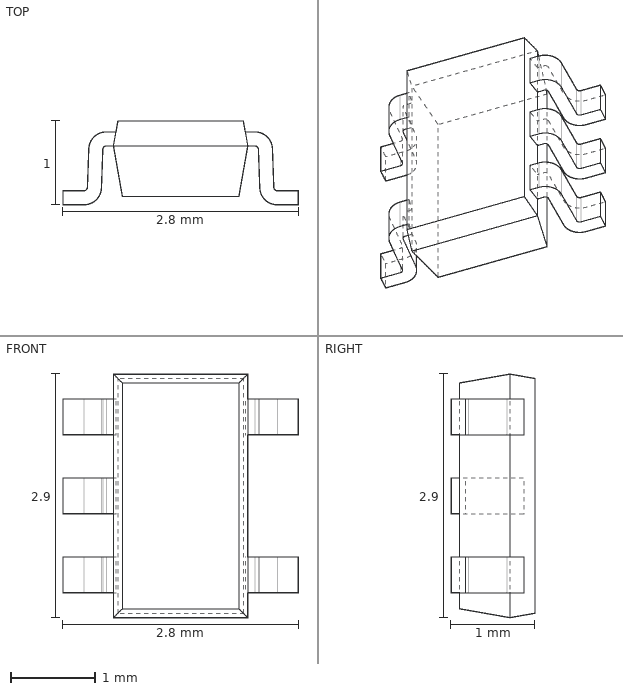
import cadquery as cq
import math

BODY_WIDTH = 1.6
BODY_LENGTH = 2.9
STANDOFF = 0.1
FRONT_DEPTH = 0.6
BACK_DEPTH = 0.3
DRAFT_ANGLE = 10.0
PARTING_Y = STANDOFF + FRONT_DEPTH

LEAD_SPAN = 2.8
LEAD_WIDTH = 0.43
LEAD_THICKNESS = 0.17
LEAD_PITCH = 0.94
FOOT_FLAT = 0.25
LEG_TILT = 2.0
BEND_INNER_RADIUS = 0.04
BEND_OUTER_RADIUS = BEND_INNER_RADIUS + LEAD_THICKNESS
SHOULDER_TOP_Y = PARTING_Y + LEAD_THICKNESS

LEFT_ROWS = [-LEAD_PITCH, 0, LEAD_PITCH]
RIGHT_ROWS = [-LEAD_PITCH, LEAD_PITCH]


def draft_inset(depth):
    """Sideways shift of a drafted wall at a given distance from the parting plane."""
    return depth * math.tan(math.radians(DRAFT_ANGLE))


def polar(center, radius, angle):
    """Point at a radius and an angle in degrees around a centre."""
    a = math.radians(angle)
    return (center[0] + radius * math.cos(a), center[1] + radius * math.sin(a))


def make_half(depth, direction):
    """Drafted half of the housing, narrowing away from the parting plane along Y."""
    parting_plane = cq.Plane(origin=(0, PARTING_Y, 0), xDir=(1, 0, 0), normal=(0, direction, 0))
    return cq.Workplane(parting_plane).rect(BODY_WIDTH, BODY_LENGTH).extrude(depth, taper=DRAFT_ANGLE)


def make_housing():
    return make_half(FRONT_DEPTH, -1).union(make_half(BACK_DEPTH, 1))


def make_lead(row_z):
    """Lead on the -X side: foot, tilted leg and shoulder ending flush on the housing wall."""
    tip_x = -LEAD_SPAN / 2
    wall_x = -BODY_WIDTH / 2
    tilt = math.radians(LEG_TILT)

    radius_sum = BEND_INNER_RADIUS + BEND_OUTER_RADIUS
    foot_bend = (tip_x + FOOT_FLAT, BEND_OUTER_RADIUS)
    shoulder_bend_y = SHOULDER_TOP_Y - BEND_OUTER_RADIUS
    rise = shoulder_bend_y - foot_bend[1]
    leg_length = (rise + radius_sum * math.sin(tilt)) / math.cos(tilt)
    run = radius_sum * math.cos(tilt) + leg_length * math.sin(tilt)
    shoulder_bend = (foot_bend[0] + run, shoulder_bend_y)

    foot_start, foot_end = -90, -LEG_TILT
    foot_middle = (foot_start + foot_end) / 2
    shoulder_start, shoulder_end = 180 - LEG_TILT, 90
    shoulder_middle = (shoulder_start + shoulder_end) / 2

    profile = (
        cq.Workplane("XY", origin=(0, 0, row_z - LEAD_WIDTH / 2))
        .moveTo(tip_x, 0)
        .lineTo(*polar(foot_bend, BEND_OUTER_RADIUS, foot_start))
        .threePointArc(
            polar(foot_bend, BEND_OUTER_RADIUS, foot_middle),
            polar(foot_bend, BEND_OUTER_RADIUS, foot_end),
        )
        .lineTo(*polar(shoulder_bend, BEND_INNER_RADIUS, shoulder_start))
        .threePointArc(
            polar(shoulder_bend, BEND_INNER_RADIUS, shoulder_middle),
            polar(shoulder_bend, BEND_INNER_RADIUS, shoulder_end),
        )
        .lineTo(wall_x, PARTING_Y)
        .lineTo(wall_x + draft_inset(LEAD_THICKNESS), SHOULDER_TOP_Y)
        .lineTo(*polar(shoulder_bend, BEND_OUTER_RADIUS, shoulder_end))
        .threePointArc(
            polar(shoulder_bend, BEND_OUTER_RADIUS, shoulder_middle),
            polar(shoulder_bend, BEND_OUTER_RADIUS, shoulder_start),
        )
        .lineTo(*polar(foot_bend, BEND_INNER_RADIUS, foot_end))
        .threePointArc(
            polar(foot_bend, BEND_INNER_RADIUS, foot_middle),
            polar(foot_bend, BEND_INNER_RADIUS, foot_start),
        )
        .lineTo(tip_x, LEAD_THICKNESS)
        .close()
    )
    return profile.extrude(LEAD_WIDTH)


housing = make_housing()
left_leads = [make_lead(z) for z in LEFT_ROWS]
right_leads = [make_lead(z).mirror("YZ") for z in RIGHT_ROWS]

leads = [lead.val() for lead in left_leads + right_leads]
result = cq.Compound.makeCompound([housing.val(), *leads])